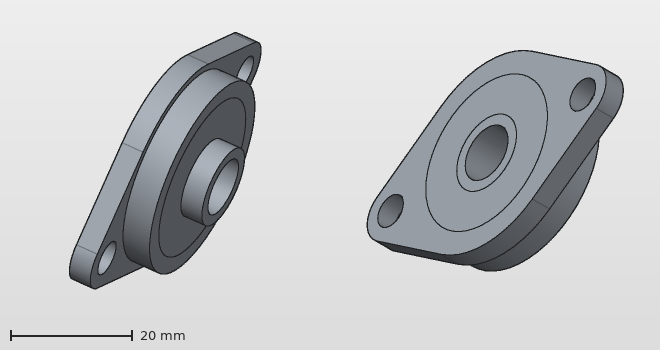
import cadquery as cq
import math

length = 55.95
height = 37.0
flange_thickness = 4.0
ear_radius = 5.5
ear_hole_diameter = 6.0

shoulder_diameter = 34.5
shoulder_end = 9.0

disc_diameter = 28.5
bush_diameter = 14.0
bush_bore_diameter = 10.0
bush_length = 13.0

centre_radius = height / 2
ear_offset = length / 2 - ear_radius

tangent_angle = math.asin((centre_radius - ear_radius) / ear_offset)
tangent_y = math.sin(tangent_angle)
tangent_z = math.cos(tangent_angle)


def cylinder(diameter, depth):
    """Solid cylinder along +X from the front face at X = 0."""
    return cq.Workplane("YZ").circle(diameter / 2).extrude(depth)


def make_flange():
    """Flange plate with a hole in each ear."""
    centre_y = centre_radius * tangent_y
    centre_z = centre_radius * tangent_z
    ear_y = ear_offset + ear_radius * tangent_y
    ear_z = ear_radius * tangent_z
    return (
        cq.Workplane("YZ")
        .moveTo(-centre_y, centre_z)
        .threePointArc((0, centre_radius), (centre_y, centre_z))
        .lineTo(ear_y, ear_z)
        .threePointArc((length / 2, 0), (ear_y, -ear_z))
        .lineTo(centre_y, -centre_z)
        .threePointArc((0, -centre_radius), (-centre_y, -centre_z))
        .lineTo(-ear_y, -ear_z)
        .threePointArc((-length / 2, 0), (-ear_y, ear_z))
        .close()
        .pushPoints([(-ear_offset, 0), (ear_offset, 0)])
        .circle(ear_hole_diameter / 2)
        .extrude(flange_thickness)
    )


def make_housing():
    """Flange and shoulder in one piece, bored through for the disc."""
    shoulder = cylinder(shoulder_diameter, shoulder_end)
    return make_flange().union(shoulder).cut(cylinder(disc_diameter, shoulder_end))


def make_disc():
    """Disc that fills the housing bore, with a central hole for the bush."""
    return cylinder(disc_diameter, shoulder_end).cut(cylinder(bush_diameter, shoulder_end))


def make_bush():
    """Plain bush, flush at the front and standing out behind the shoulder."""
    return cylinder(bush_diameter, bush_length).cut(cylinder(bush_bore_diameter, bush_length))


housing = make_housing()
disc = make_disc()
bush = make_bush()

result = cq.Compound.makeCompound([housing.val(), disc.val(), bush.val()])